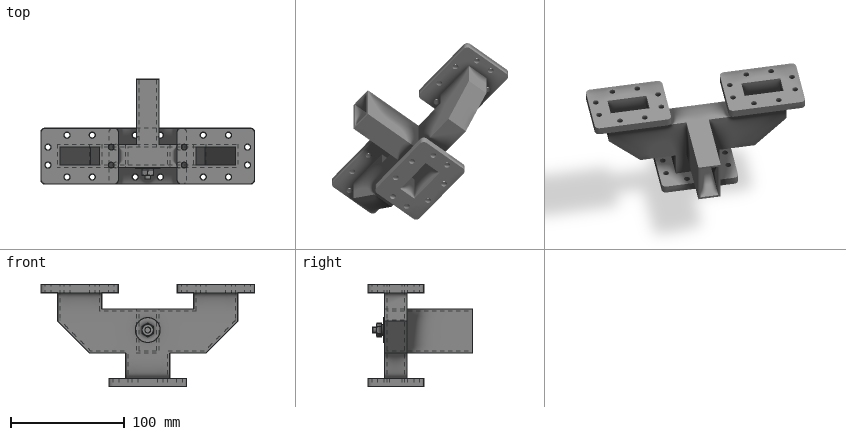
import cadquery as cq
import math

BORE_LONG = 34.8
BORE_SHORT = 15.8
WALL = 2.0
TUBE_LONG = BORE_LONG + 2 * WALL
TUBE_SHORT = BORE_SHORT + 2 * WALL

TOTAL_LENGTH = 188.3
TOTAL_HEIGHT = 90.0
TRUNK_BOTTOM = 29.5
TRUNK_TOP = TRUNK_BOTTOM + TUBE_LONG
MITRE = 28.2
REAR_ARM_END = 67.8

FLANGE_LENGTH = 68.4
FLANGE_WIDTH = 49.3
FLANGE_THICKNESS = 7.3
FLANGE_CORNER_RADIUS = 4.0
FLANGE_HOLE_DIAMETER = 5.0
LONG_EDGE_HOLE_X = 11.1
LONG_EDGE_HOLE_Y = 18.5
SHORT_EDGE_HOLE_X = 27.9
SHORT_EDGE_HOLE_Y = 8.0
PORT_X = (TOTAL_LENGTH - FLANGE_LENGTH) / 2

STUD_Z = 49.9
STUD_DIAMETER = 5.0
STUD_LENGTH = 10.4
DISC_DIAMETER = 21.8
DISC_THICKNESS = 1.0
COLLAR_DIAMETER = 9.8
COLLAR_THICKNESS = 1.5
NUT_FLATS = 10.5
NUT_FACE_DIAMETER = 10.0
NUT_THICKNESS = 4.7
NUT_CHAMFER_ANGLE = 30.0


def centred_block(length_x, length_y, z_bottom, z_top):
    """Upright block centred on the Z axis."""
    block = cq.Workplane("XY").box(length_x, length_y, z_top - z_bottom, centered=(True, True, False))
    return block.translate((0, 0, z_bottom))


def junction(inset):
    """Branched solid of the tubes, with every side wall moved inward by inset."""
    half_tube = TUBE_LONG / 2 - inset
    depth = TUBE_SHORT - 2 * inset
    outer_x = PORT_X + half_tube
    inner_x = PORT_X - half_tube
    bottom = TRUNK_BOTTOM + inset
    top = TRUNK_TOP - inset
    mitre = MITRE - inset * (2 - math.sqrt(2))

    right_half = [
        (inner_x, top),
        (inner_x, TOTAL_HEIGHT),
        (outer_x, TOTAL_HEIGHT),
        (outer_x, bottom + mitre),
        (outer_x - mitre, bottom),
    ]
    left_half = [(-x, z) for x, z in reversed(right_half)]
    trunk = (
        cq.Workplane("XZ")
        .polyline(right_half + left_half)
        .close()
        .extrude(depth / 2, both=True)
    )
    lower_arm = centred_block(2 * half_tube, depth, 0, top)
    rear_arm = (
        cq.Workplane("XY")
        .box(depth, REAR_ARM_END, top - bottom, centered=(True, False, False))
        .translate((0, 0, bottom))
    )
    return trunk.union(lower_arm).union(rear_arm)


def flange(center_x, z_bottom):
    """Rounded plate with two holes along each of its four edges."""
    plate = centred_block(FLANGE_LENGTH, FLANGE_WIDTH, 0, FLANGE_THICKNESS)
    plate = plate.edges("|Z").fillet(FLANGE_CORNER_RADIUS)
    hole_points = [
        (side_x * x, side_y * y)
        for x, y in [(LONG_EDGE_HOLE_X, LONG_EDGE_HOLE_Y), (SHORT_EDGE_HOLE_X, SHORT_EDGE_HOLE_Y)]
        for side_x in (-1, 1)
        for side_y in (-1, 1)
    ]
    plate = plate.faces(">Z").workplane().pushPoints(hole_points).hole(FLANGE_HOLE_DIAMETER)
    return plate.translate((center_x, 0, z_bottom))


def front_plane(distance):
    """Plane facing -Y, at a distance in front of the front wall, centred on the stud."""
    return cq.Workplane("XZ", origin=(0, -TUBE_SHORT / 2 - distance, STUD_Z))


def tuning_stud():
    """Threaded stud with a thin disc, a collar and a chamfered hexagon nut."""
    collar_start = DISC_THICKNESS
    nut_start = collar_start + COLLAR_THICKNESS
    corner_diameter = NUT_FLATS / math.cos(math.radians(30))

    stud = front_plane(0).circle(STUD_DIAMETER / 2).extrude(STUD_LENGTH)
    disc = front_plane(0).circle(DISC_DIAMETER / 2).extrude(DISC_THICKNESS)
    collar = front_plane(collar_start).circle(COLLAR_DIAMETER / 2).extrude(COLLAR_THICKNESS)

    nut = (
        front_plane(nut_start)
        .transformed(rotate=(0, 0, 90))
        .polygon(6, corner_diameter)
        .extrude(NUT_THICKNESS)
    )
    chamfer_width = (corner_diameter - NUT_FACE_DIAMETER) / 2
    chamfer_depth = chamfer_width * math.tan(math.radians(NUT_CHAMFER_ANGLE))
    envelope = (
        front_plane(nut_start)
        .circle(corner_diameter / 2)
        .extrude(NUT_THICKNESS)
        .faces("<Y")
        .chamfer(chamfer_depth, chamfer_width)
    )
    return stud.union(disc).union(collar).union(nut.intersect(envelope))


result = junction(0)
for port_x in (-PORT_X, PORT_X):
    result = result.union(flange(port_x, TOTAL_HEIGHT - FLANGE_THICKNESS))
result = result.union(flange(0, 0))
result = result.cut(junction(WALL))
result = result.union(tuning_stud())